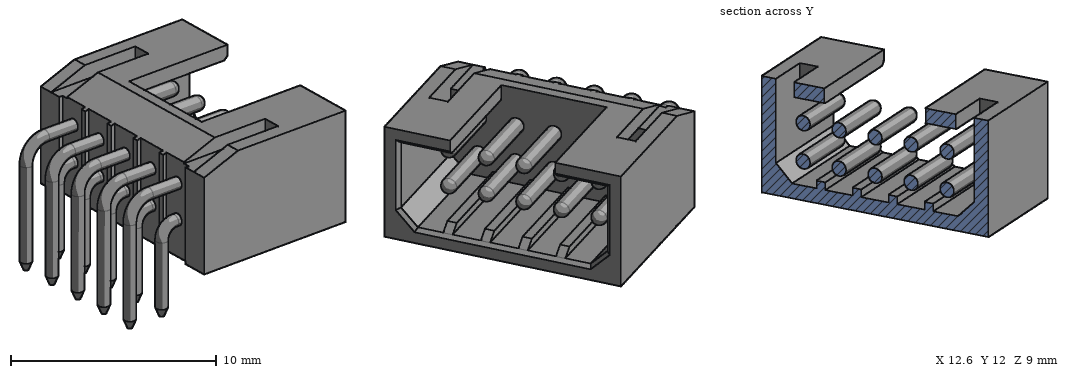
import cadquery as cq
import math


BODY_WIDTH = 12.6
BODY_DEPTH = 8.9
BODY_HEIGHT = 6.1
WALL = 0.8
BEVEL_LENGTH = 2.13
BEVEL_DROP = WALL

PITCH = 2.0
COLUMNS = 5
PIN_DIAMETER = 0.65
TIP_DIAMETER = 0.26
TIP_LENGTH = 0.48
CONTACT_DIAMETER = 0.8
CONTACT_SETBACK = 2.2
PIN_BOTTOM = -2.9
LOWER_PIN_Z = (BODY_HEIGHT - PITCH) / 2
LOWER_BEND_RADIUS = 0.8
UPPER_BEND_RADIUS = 1.2
LOWER_LEG_Y = -0.8

CAVITY_WIDTH = 11.0
CAVITY_DEPTH = 6.2
CAVITY_FLOOR = WALL
CAVITY_CEILING = BODY_HEIGHT - WALL
CORNER_BEVEL = 0.9
MOUTH_CHAMFER = 0.2

RIB_POSITIONS = [(i - (COLUMNS - 2) / 2) * PITCH for i in range(COLUMNS - 1)]
FLOOR_RIB_WIDTH = 0.5
FLOOR_RIB_HEIGHT = 0.4
FLOOR_RIB_SLOPE_LENGTH = 0.5
REAR_RIB_WIDTH = 0.3

KEY_WIDTH = 5.6
SIDE_SLOT_WIDTH = 1.0
SIDE_SLOT_LENGTH = 5.3
SIDE_SLOT_CENTER = (CAVITY_WIDTH - SIDE_SLOT_WIDTH) / 2
REAR_RECESS_WIDTH = 9.72
REAR_RECESS_DEPTH = 0.2

CAVITY_BACK = BODY_DEPTH - CAVITY_DEPTH
ROUNDING_LIMIT = 0.999
OVERLAP = 0.1


def box(x_center, width, y_range, z_range):
    """Axis-aligned box centred at x_center, spanning the given y and z ranges."""
    y_low, y_high = y_range
    z_low, z_high = z_range
    block = cq.Workplane("XY").box(width, y_high - y_low, z_high - z_low, centered=(True, False, False))
    return block.translate((x_center, y_low, z_low))


def make_block():
    """Outer block with the sloped upper rear edge."""
    return (
        cq.Workplane("YZ")
        .moveTo(0, 0)
        .lineTo(BODY_DEPTH, 0)
        .lineTo(BODY_DEPTH, BODY_HEIGHT)
        .lineTo(BEVEL_LENGTH, BODY_HEIGHT)
        .lineTo(0, BODY_HEIGHT - BEVEL_DROP)
        .close()
        .extrude(BODY_WIDTH / 2, both=True)
    )


def cavity_section(y, growth):
    """Cavity outline at depth y: a rectangle with bevelled lower corners, grown outward all round."""
    side = CAVITY_WIDTH / 2 + growth
    floor = CAVITY_FLOOR - growth
    ceiling = CAVITY_CEILING + growth
    bevel = CORNER_BEVEL + growth * (2 - math.sqrt(2))
    outline = [
        (side, ceiling),
        (-side, ceiling),
        (-side, floor + bevel),
        (-side + bevel, floor),
        (side - bevel, floor),
        (side, floor + bevel),
    ]
    return cq.Workplane("XZ", origin=(0, y, 0)).polyline(outline).close()


def make_cavity():
    """Mating cavity with a chamfered lead-in at the mouth."""
    pocket = cavity_section(BODY_DEPTH, 0).extrude(CAVITY_DEPTH)
    inner_outline = cavity_section(BODY_DEPTH - MOUTH_CHAMFER, 0).val()
    outer_outline = cavity_section(BODY_DEPTH, MOUTH_CHAMFER).val()
    lead_in = cq.Solid.makeLoft([inner_outline, outer_outline], True)
    return pocket.union(cq.Workplane(lead_in))


def make_openings():
    """Key opening in the top wall and the two narrow slots beside it."""
    z_range = (CAVITY_CEILING, BODY_HEIGHT + OVERLAP)
    openings = box(0, KEY_WIDTH, (CAVITY_BACK, BODY_DEPTH + OVERLAP), z_range)
    for side in (-1, 1):
        openings = openings.union(
            box(side * SIDE_SLOT_CENTER, SIDE_SLOT_WIDTH, (-OVERLAP, SIDE_SLOT_LENGTH), z_range)
        )
    return openings


def make_rear_recess():
    """Shallow full-height recess in the rear face, leaving narrow upright ribs."""
    recess = box(0, REAR_RECESS_WIDTH, (-OVERLAP, REAR_RECESS_DEPTH), (-OVERLAP, BODY_HEIGHT + OVERLAP))
    for x in RIB_POSITIONS:
        recess = recess.cut(
            box(x, REAR_RIB_WIDTH, (-OVERLAP, REAR_RECESS_DEPTH), (-OVERLAP, BODY_HEIGHT + OVERLAP))
        )
    return recess


def make_floor_rib(x):
    """Rib on the cavity floor, its end sloping down toward the mouth."""
    rib_end = BODY_DEPTH - MOUTH_CHAMFER
    rib_top = CAVITY_FLOOR + FLOOR_RIB_HEIGHT
    return (
        cq.Workplane("YZ", origin=(x, 0, 0))
        .moveTo(CAVITY_BACK - OVERLAP, CAVITY_FLOOR - OVERLAP)
        .lineTo(rib_end, CAVITY_FLOOR - OVERLAP)
        .lineTo(rib_end, CAVITY_FLOOR)
        .lineTo(rib_end - FLOOR_RIB_SLOPE_LENGTH, rib_top)
        .lineTo(CAVITY_BACK - OVERLAP, rib_top)
        .close()
        .extrude(FLOOR_RIB_WIDTH / 2, both=True)
    )


def make_pin(x, z, leg_y, bend_radius):
    """Bent pin: tapered leg, bend and tail into the rear wall, then the thicker contact."""
    bend_start = leg_y + bend_radius
    diagonal = bend_radius * math.sqrt(0.5)
    path = (
        cq.Workplane("YZ", origin=(x, 0, 0))
        .moveTo(leg_y, PIN_BOTTOM + TIP_LENGTH)
        .lineTo(leg_y, z - bend_radius)
        .threePointArc(
            (bend_start - diagonal, z - bend_radius + diagonal),
            (bend_start, z),
        )
        .lineTo(CAVITY_BACK - OVERLAP, z)
    )
    leg_section = cq.Workplane("XY", origin=(x, leg_y, PIN_BOTTOM + TIP_LENGTH))
    pin = leg_section.circle(PIN_DIAMETER / 2).sweep(path)

    tip = cq.Solid.makeCone(
        TIP_DIAMETER / 2, PIN_DIAMETER / 2, TIP_LENGTH, cq.Vector(x, leg_y, PIN_BOTTOM), cq.Vector(0, 0, 1)
    )

    contact_radius = CONTACT_DIAMETER / 2
    contact_start = CAVITY_BACK - 2 * OVERLAP
    contact_length = BODY_DEPTH - CONTACT_SETBACK - contact_start
    contact = (
        cq.Workplane("XZ", origin=(x, contact_start, z))
        .circle(contact_radius)
        .extrude(-contact_length)
        .faces(">Y")
        .edges()
        .fillet(contact_radius * ROUNDING_LIMIT)
    )
    return pin.union(cq.Workplane(tip)).union(contact)


def make_part():
    part = make_block().cut(make_cavity()).cut(make_openings()).cut(make_rear_recess())
    for x in RIB_POSITIONS:
        part = part.union(make_floor_rib(x))
    for column in range(COLUMNS):
        x = (column - (COLUMNS - 1) / 2) * PITCH
        part = part.union(make_pin(x, LOWER_PIN_Z, LOWER_LEG_Y, LOWER_BEND_RADIUS))
        part = part.union(make_pin(x, LOWER_PIN_Z + PITCH, LOWER_LEG_Y - PITCH, UPPER_BEND_RADIUS))
    return part


result = make_part()